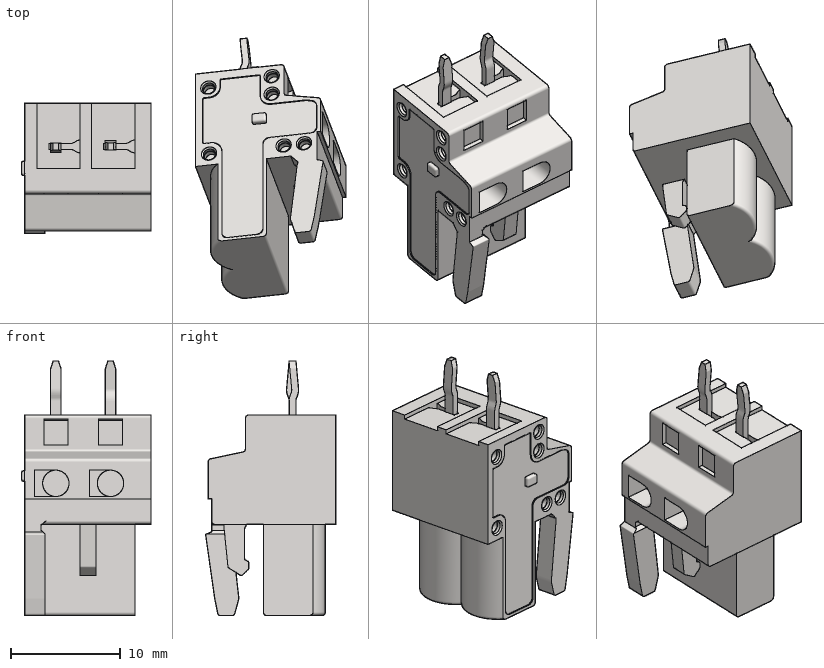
import cadquery as cq
import math


OVERLAP = 0.5

POLE_COUNT = 2
POLE_PITCH = 4.98
FIRST_POLE_X = 2.83

HOUSING_WIDTH = 11.5
HOUSING_TOP = 18.28
HOUSING_BOTTOM = 8.32
UPPER_FRONT = 8.25
MIDDLE_FRONT = 11.64
LOWER_FRONT = 11.32
STEP_TOP = 14.96
STEP_SLOPE = 12.0
LOWER_STEP_Z = 10.64
EDGE_RADIUS = 0.33
INNER_RADIUS = 0.25
UNDERSIDE_RADIUS = 0.3

LEG_WIDTH = 10.04
LEG_REAR = 2.08
LEG_FRONT = 6.6
LEG_BOTTOM_RADIUS = 0.3
RIB_REAR = 0.96
RIB_ROOT = 1.0

LEVER_WIDTH = 1.84
LEVER_NECK_WIDTH = 1.5
LEVER_NECK_TOP = 8.25
LEVER_NECK_BOTTOM = 7.77
LEVER_SHOULDER_Z = 7.45
LEVER_ROOT_WIDTH = 1.93
LEVER_ROOT_Z = HOUSING_BOTTOM + UNDERSIDE_RADIUS
LEVER_ROOT_REAR = 8.86
LEVER_NECK_REAR = 9.5
LEVER_GRIP_Z = 7.64
LEVER_TIP_FRONT = 11.87
LEVER_TIP_Z = 7.4
LEVER_TIP_RADIUS = 0.1
LEVER_BEND_FRONT = 11.04
LEVER_BEND_REAR = 8.82
LEVER_BEND_Z = 1.55
LEVER_BEND_RADIUS = 0.8
LEVER_END_FRONT = 10.72
LEVER_END_REAR = 9.25
LEVER_END_RADIUS = 0.25

HOOK_CENTER_X = 5.77
HOOK_WIDTH = 1.46
HOOK_ROOT_REAR = 8.1
HOOK_ROOT_FRONT = 10.27
HOOK_ROOT_Z = 7.95
HOOK_ROOT_RADIUS = 0.3
HOOK_ARM_REAR = 8.3
HOOK_INNER_RADIUS = 0.1
HOOK_BARB_REAR = 7.92
HOOK_BARB_TOP = 5.12
HOOK_BARB_DROP = 0.22
HOOK_BARB_BOTTOM = 4.27
HOOK_NOSE_DEPTH = 8.6
HOOK_NOSE_Z = 3.6
HOOK_HEEL_DEPTH = 9.82
HOOK_HEEL_Z = 4.4
HOOK_RADIUS = 0.2

PIN_TOP = 23.2
PIN_WIDTH = 0.97
PIN_TIP_WIDTH = 0.5
PIN_TIP_LENGTH = 0.74
PIN_THICKNESS = 0.64
PIN_DEPTH = 3.945
PIN_OFFSET = 0.26
PIN_LOWER_BEND_Z = 19.68
PIN_UPPER_BEND_Z = 20.36
PIN_BEND_RISE = 0.1
PIN_INNER_RADIUS = 0.65
PIN_OUTER_RADIUS = PIN_INNER_RADIUS + PIN_THICKNESS

POCKET_WIDTH = 3.92
POCKET_OFFSET = 0.25
POCKET_LENGTH = 5.97
POCKET_DEPTH = 0.4
SLOT_DEPTH = 1.0
SLOT_LEFT = 0.63
SLOT_WIDTH = 0.54
FLARE_START = 1.31
FLARE_WIDTH = 1.16

WINDOW_WIDTH = 2.19
WINDOW_BOTTOM = 15.55
WINDOW_OUTER_TOP = 17.89
WINDOW_INNER_TOP = 17.76
WINDOW_DEPTH = 0.44
ENTRY_DIAMETER = 2.4
ENTRY_Z = 12.05
ENTRY_SIDE = 1.93
ENTRY_SLOT_DEPTH = 2.5
ENTRY_DEPTH = 5.0

SOCKETS = [(1.2, 16.66), (1.27, 9.54), (7.09, 17.14), (7.09, 15.25), (8.2, 9.54), (10.09, 9.54)]
SOCKET_MOUTH_DIAMETER = 1.42
SOCKET_BORE_DIAMETER = 1.14
SOCKET_BORE_DEPTH = 0.45
SOCKET_CORE_DIAMETER = 1.06
SOCKET_DEPTH = 1.0
PANEL_DEPTH = 0.12
PANEL_REAR = 0.68
PANEL_FRONT = 11.26
PANEL_TOP = 17.44
PANEL_BOTTOM = 0.3
PANEL_NECK = (2.29, 6.02)
PANEL_STEM = (2.45, 6.27)
PANEL_REAR_STEPS = (10.7, 15.62)
PANEL_FRONT_STEPS = (10.58, 14.19)
PANEL_SLOPE_START = 10.3
PANEL_SLOPE_END_Z = 13.93
PANEL_CORNER_RADIUS = 0.15
PANEL_ROUND_RADIUS = 0.6
SOCKET_LAND_RADIUS = 1.0
KEY_HEIGHT = 0.3
KEY_REAR = 5.27
KEY_FRONT = 6.6
KEY_BOTTOM = 12.23
KEY_TOP = 13.2
KEY_RADIUS = 0.2


def pole_positions():
    return [FIRST_POLE_X + POLE_PITCH * pole for pole in range(POLE_COUNT)]


def side_plane(x):
    """Plane at x with its axes along depth and height."""
    return cq.Workplane(cq.Plane(origin=(x, 0, 0), xDir=(0, -1, 0), normal=(-1, 0, 0)))


def toward(start, end, distance):
    """Point at a distance from start on the line to end."""
    length = math.dist(start, end)
    return tuple(s + (e - s) * distance / length for s, e in zip(start, end))


def rounded_outline(workplane, corners):
    """Closed outline through (u, v, radius) corners; a radius of 0 keeps a sharp corner."""
    outline = None
    count = len(corners)
    for index, (u, v, radius) in enumerate(corners):
        corner = (u, v)
        before = corners[index - 1][:2]
        after = corners[(index + 1) % count][:2]
        if radius:
            to_before = math.atan2(before[1] - v, before[0] - u)
            to_after = math.atan2(after[1] - v, after[0] - u)
            half = abs(math.remainder(to_after - to_before, 2 * math.pi)) / 2
            setback = radius / math.tan(half)
            start = toward(corner, before, setback)
            end = toward(corner, after, setback)
            chord_middle = ((start[0] + end[0]) / 2, (start[1] + end[1]) / 2)
            middle = toward(corner, chord_middle, radius / math.sin(half) - radius)
        else:
            start = corner
        outline = outline.lineTo(*start) if outline else workplane.moveTo(*start)
        if radius:
            outline = outline.threePointArc(middle, end)
    return outline.close()


def side_solid(corners, x_start, width):
    """Side profile extruded along +X."""
    return rounded_outline(side_plane(x_start), corners).extrude(-width)


def box(x, depth, z):
    """Block spanning the (low, high) ranges of x, depth and z."""
    return (
        cq.Workplane("XY")
        .box(x[1] - x[0], depth[1] - depth[0], z[1] - z[0], centered=False)
        .translate((x[0], -depth[1], z[0]))
    )


def housing():
    slope_drop = (MIDDLE_FRONT - UPPER_FRONT) * math.tan(math.radians(STEP_SLOPE))
    return side_solid(
        [
            (0, HOUSING_BOTTOM, 0),
            (0, HOUSING_TOP, 0),
            (UPPER_FRONT, HOUSING_TOP, EDGE_RADIUS),
            (UPPER_FRONT, STEP_TOP, INNER_RADIUS),
            (MIDDLE_FRONT, STEP_TOP - slope_drop, EDGE_RADIUS),
            (MIDDLE_FRONT, LOWER_STEP_Z, 0),
            (LOWER_FRONT, LOWER_STEP_Z, 0),
            (LOWER_FRONT, HOUSING_BOTTOM, UNDERSIDE_RADIUS),
        ],
        0,
        HOUSING_WIDTH,
    )


def leg():
    block = box((0, LEG_WIDTH), (LEG_REAR + RIB_ROOT, LEG_FRONT), (0, HOUSING_BOTTOM + OVERLAP))
    front_edge = cq.selectors.NearestToPointSelector((LEG_WIDTH / 2, -LEG_FRONT, 0))
    block = block.edges(front_edge).fillet(LEG_BOTTOM_RADIUS)
    rib_width = LEG_WIDTH / POLE_COUNT
    for pole in range(POLE_COUNT):
        rib_left = pole * rib_width
        rib = (
            cq.Workplane("XY")
            .moveTo(rib_left, -LEG_REAR - RIB_ROOT)
            .lineTo(rib_left, -LEG_REAR)
            .threePointArc((rib_left + rib_width / 2, -RIB_REAR), (rib_left + rib_width, -LEG_REAR))
            .lineTo(rib_left + rib_width, -LEG_REAR - RIB_ROOT)
            .close()
            .extrude(HOUSING_BOTTOM + OVERLAP)
        )
        rear_edge = rib.faces("<Z").edges(">Y")
        rib = rib.newObject(rear_edge.vals()).fillet(LEG_BOTTOM_RADIUS)
        block = block.union(rib)
    return block


def lever():
    root_top = HOUSING_BOTTOM + OVERLAP
    side = side_solid(
        [
            (LEVER_ROOT_REAR, HOUSING_BOTTOM, 0),
            (LEVER_ROOT_REAR, root_top, 0),
            (LOWER_FRONT, root_top, 0),
            (LOWER_FRONT, LEVER_GRIP_Z, 0),
            (LEVER_TIP_FRONT, LEVER_TIP_Z, LEVER_TIP_RADIUS),
            (LEVER_BEND_FRONT, LEVER_BEND_Z, 0),
            (LEVER_END_FRONT, 0, LEVER_END_RADIUS),
            (LEVER_END_REAR, 0, LEVER_END_RADIUS),
            (LEVER_BEND_REAR, LEVER_BEND_Z, LEVER_BEND_RADIUS),
            (LEVER_NECK_REAR, LEVER_GRIP_Z, 0),
        ],
        0,
        LEVER_ROOT_WIDTH,
    )
    neck = (
        cq.Workplane("XZ")
        .polyline(
            [
                (0, 0),
                (LEVER_WIDTH, 0),
                (LEVER_WIDTH, LEVER_SHOULDER_Z),
                (LEVER_NECK_WIDTH, LEVER_NECK_BOTTOM),
                (LEVER_NECK_WIDTH, LEVER_NECK_TOP),
                (LEVER_ROOT_WIDTH, LEVER_ROOT_Z),
                (LEVER_ROOT_WIDTH, root_top),
                (0, root_top),
            ]
        )
        .close()
        .extrude(LEVER_TIP_FRONT + OVERLAP)
    )
    return side.intersect(neck)


def hook():
    root_top = HOUSING_BOTTOM + OVERLAP
    return side_solid(
        [
            (HOOK_ROOT_REAR, root_top, 0),
            (HOOK_ROOT_REAR, HOUSING_BOTTOM, 0),
            (HOOK_ARM_REAR, HOOK_ROOT_Z, HOOK_ROOT_RADIUS),
            (HOOK_ARM_REAR, HOOK_BARB_TOP, HOOK_INNER_RADIUS),
            (HOOK_BARB_REAR, HOOK_BARB_TOP - HOOK_BARB_DROP, HOOK_RADIUS),
            (HOOK_BARB_REAR, HOOK_BARB_BOTTOM, HOOK_RADIUS),
            (HOOK_NOSE_DEPTH, HOOK_NOSE_Z, HOOK_RADIUS),
            (HOOK_HEEL_DEPTH, HOOK_HEEL_Z, HOOK_RADIUS),
            (HOOK_ROOT_FRONT, root_top, 0),
        ],
        HOOK_CENTER_X - HOOK_WIDTH / 2,
        HOOK_WIDTH,
    )


def pin(x, bend):
    """Contact pin bent forward (bend = 1) or rearward (bend = -1)."""
    near = PIN_DEPTH - bend * PIN_THICKNESS / 2
    far = PIN_DEPTH + bend * PIN_THICKNESS / 2
    shift = bend * PIN_OFFSET
    root = HOUSING_TOP - POCKET_DEPTH - SLOT_DEPTH - OVERLAP
    strip = side_solid(
        [
            (near, root, 0),
            (near, PIN_LOWER_BEND_Z + PIN_BEND_RISE, PIN_OUTER_RADIUS),
            (near + shift, PIN_UPPER_BEND_Z + PIN_BEND_RISE, PIN_INNER_RADIUS),
            (near, PIN_TOP, 0),
            (far, PIN_TOP, 0),
            (far + shift, PIN_UPPER_BEND_Z, PIN_OUTER_RADIUS),
            (far, PIN_LOWER_BEND_Z, PIN_INNER_RADIUS),
            (far, root, 0),
        ],
        x - PIN_WIDTH / 2,
        PIN_WIDTH,
    )
    face = (
        cq.Workplane("XZ")
        .polyline(
            [
                (x - PIN_WIDTH / 2, root),
                (x - PIN_WIDTH / 2, PIN_TOP - PIN_TIP_LENGTH),
                (x - PIN_TIP_WIDTH / 2, PIN_TOP),
                (x + PIN_TIP_WIDTH / 2, PIN_TOP),
                (x + PIN_WIDTH / 2, PIN_TOP - PIN_TIP_LENGTH),
                (x + PIN_WIDTH / 2, root),
            ]
        )
        .close()
        .extrude(UPPER_FRONT)
    )
    return strip.intersect(face)


def top_recess(x):
    """Shallow pocket open to the rear, with a slot that flares toward +X in its floor."""
    right = x + POCKET_OFFSET + POCKET_WIDTH / 2
    floor = HOUSING_TOP - POCKET_DEPTH
    pocket = box((right - POCKET_WIDTH, right), (0, POCKET_LENGTH), (floor, HOUSING_TOP))
    narrow = SLOT_WIDTH / 2
    wide = FLARE_WIDTH / 2
    flare_x = x + FLARE_START
    half_slot = (
        cq.Workplane("XY", origin=(0, -PIN_DEPTH, floor - SLOT_DEPTH))
        .moveTo(x - SLOT_LEFT, 0)
        .lineTo(x - SLOT_LEFT, narrow)
        .lineTo(flare_x, narrow)
        .tangentArcPoint(((flare_x + right) / 2, (narrow + wide) / 2), relative=False)
        .tangentArcPoint((right, wide), relative=False)
        .lineTo(right, 0)
        .close()
        .extrude(SLOT_DEPTH)
    )
    slot = half_slot.union(half_slot.mirror("XZ", (0, -PIN_DEPTH, 0)))
    return pocket.union(slot)


def front_window(x):
    """Shallow window with a sloping ceiling."""
    inner = UPPER_FRONT - WINDOW_DEPTH
    return side_solid(
        [
            (inner, WINDOW_BOTTOM, 0),
            (UPPER_FRONT, WINDOW_BOTTOM, 0),
            (UPPER_FRONT, WINDOW_OUTER_TOP, 0),
            (inner, WINDOW_INNER_TOP, 0),
        ],
        x - WINDOW_WIDTH / 2,
        WINDOW_WIDTH,
    )


def wire_entry(x):
    """Round hole whose mouth is widened squarely toward -X."""
    radius = ENTRY_DIAMETER / 2
    hole = (
        cq.Workplane("XZ", origin=(x, -MIDDLE_FRONT, ENTRY_Z))
        .circle(radius)
        .extrude(-ENTRY_DEPTH)
    )
    mouth = box(
        (x - ENTRY_SIDE, x),
        (MIDDLE_FRONT - ENTRY_SLOT_DEPTH, MIDDLE_FRONT),
        (ENTRY_Z - radius, ENTRY_Z + radius),
    )
    return hole.union(mouth)


def socket(depth, z):
    """Blind round socket in the -X side: conical mouth, bore and slightly narrower core."""
    mouth_radius = SOCKET_MOUTH_DIAMETER / 2
    bore_radius = SOCKET_BORE_DIAMETER / 2
    mouth_depth = mouth_radius - bore_radius
    center = side_plane(0).center(depth, z)
    mouth = center.circle(mouth_radius).workplane(offset=-mouth_depth).circle(bore_radius).loft()
    bore = center.circle(bore_radius).extrude(-SOCKET_BORE_DEPTH)
    core = center.circle(SOCKET_CORE_DIAMETER / 2).extrude(-SOCKET_DEPTH)
    return core.union(bore).union(mouth)


def side_panel():
    """Shallow recess of the -X side, following the outline and stepping around the sockets."""
    neck_rear, neck_front = PANEL_NECK
    stem_rear, stem_front = PANEL_STEM
    rear_low, rear_high = PANEL_REAR_STEPS
    front_low, front_high = PANEL_FRONT_STEPS
    return side_solid(
        [
            (PANEL_REAR, rear_low, PANEL_CORNER_RADIUS),
            (PANEL_REAR, rear_high, PANEL_CORNER_RADIUS),
            (neck_rear, rear_high, SOCKET_LAND_RADIUS),
            (neck_rear, PANEL_TOP, PANEL_CORNER_RADIUS),
            (neck_front, PANEL_TOP, PANEL_CORNER_RADIUS),
            (neck_front, front_high, SOCKET_LAND_RADIUS),
            (PANEL_SLOPE_START, front_high, PANEL_ROUND_RADIUS),
            (PANEL_FRONT, PANEL_SLOPE_END_Z, PANEL_ROUND_RADIUS),
            (PANEL_FRONT, front_low, PANEL_ROUND_RADIUS),
            (stem_front, front_low, PANEL_ROUND_RADIUS),
            (stem_front, PANEL_BOTTOM, PANEL_ROUND_RADIUS),
            (stem_rear, PANEL_BOTTOM, PANEL_ROUND_RADIUS),
            (stem_rear, rear_low, SOCKET_LAND_RADIUS),
        ],
        0,
        PANEL_DEPTH,
    )


def key():
    """Small coding key standing out of the -X side."""
    block = box((-KEY_HEIGHT, OVERLAP), (KEY_REAR, KEY_FRONT), (KEY_BOTTOM, KEY_TOP))
    return block.edges("<X or |X").fillet(KEY_RADIUS)


part = housing().union(leg()).union(lever()).union(hook())
part = part.cut(side_panel()).union(key())
for socket_depth, socket_z in SOCKETS:
    part = part.cut(socket(socket_depth, socket_z))
for pole_index, pole_x in enumerate(pole_positions()):
    part = part.cut(top_recess(pole_x)).cut(front_window(pole_x)).cut(wire_entry(pole_x))
    pin_bend = 1 if pole_index % 2 == 0 else -1
    part = part.union(pin(pole_x, pin_bend))

result = part